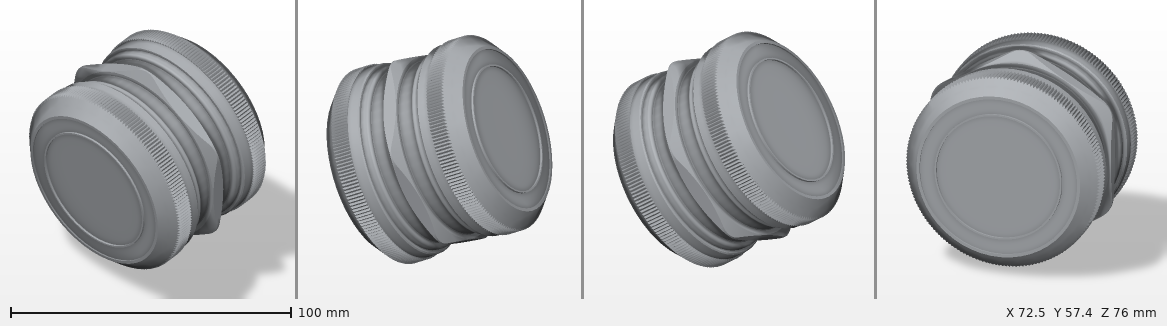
import cadquery as cq
import math


hex_across_flats = 68.0
hex_across_rounded_corners = 76.0
hex_half_width = 2.7
hex_face_diameter = 67.65
hex_chamfer_angle = 30.0

neck_diameter = 64.0
neck_bevel = 0.3
shoulder_start = 8.8
shoulder_diameter = hex_across_flats
shoulder_round = 1.0

nut_start = 12.1
skirt_diameter = 71.0
skirt_chamfer = 0.45
nut_face = 28.5
nut_face_diameter = 61.3

knurl_start = 16.65
ridge_diameter = 72.5
ridge_count = 180

seat_diameter = 59.0
seat_floor = 28.0
rim_end = 28.7
rim_outer_diameter = 47.6
rim_inner_diameter = 46.4


def revolve_about_y(points):
    """Revolve a closed (radius, y) outline about the Y axis."""
    return cq.Workplane("XY").polyline(points).close().revolve(360, (0, 0, 0), (0, 1, 0))


def polar_point(radius, angle):
    """Point at an angle in degrees, measured from the first axis of the sketch plane."""
    return (radius * math.cos(math.radians(angle)), radius * math.sin(math.radians(angle)))


def make_hex_collar():
    """Hexagon with two flats facing X, rounded corners and a shallow cone on both sides."""
    apothem = hex_across_flats / 2
    corner_stretch = 1 / math.cos(math.radians(30))
    corner_radius = apothem * corner_stretch
    corner_fillet = (corner_radius - hex_across_rounded_corners / 2) / (corner_stretch - 1)

    corners = [polar_point(corner_radius, 30 + 60 * i) for i in range(6)]
    hexagon = cq.Workplane("XZ").polyline(corners).close().extrude(hex_half_width, both=True)
    hexagon = hexagon.edges("|Y").fillet(corner_fillet)

    face_radius = hex_face_diameter / 2
    rim_radius = face_radius + hex_half_width / math.tan(math.radians(hex_chamfer_angle))
    double_cone = revolve_about_y([
        (0, -hex_half_width),
        (face_radius, -hex_half_width),
        (rim_radius, 0),
        (face_radius, hex_half_width),
        (0, hex_half_width),
    ])
    return hexagon.intersect(double_cone)


def make_body_half():
    """Neck from the middle plane and the rounded shoulder in front of the nut."""
    neck_radius = neck_diameter / 2
    neck = revolve_about_y([
        (0, 0),
        (neck_radius + neck_bevel, 0),
        (neck_radius + neck_bevel, hex_half_width),
        (neck_radius, hex_half_width + neck_bevel),
        (neck_radius, shoulder_start - neck_bevel),
        (neck_radius + neck_bevel, shoulder_start),
        (neck_radius + neck_bevel, nut_start),
        (0, nut_start),
    ])
    shoulder = revolve_about_y([
        (0, shoulder_start),
        (shoulder_diameter / 2, shoulder_start),
        (shoulder_diameter / 2, nut_start),
        (0, nut_start),
    ])
    return neck.union(shoulder.faces("<Y").edges().fillet(shoulder_round))


def make_knurl():
    """Ring of V-shaped ridges running along Y from the skirt to the end face."""
    pitch_angle = 360 / ridge_count
    outline = []
    for i in range(ridge_count):
        outline.append(polar_point(ridge_diameter / 2, i * pitch_angle))
        outline.append(polar_point(skirt_diameter / 2, (i + 0.5) * pitch_angle))
    band = cq.Workplane("XZ").polyline(outline).close().extrude(-(nut_face - knurl_start))
    return band.translate((0, knurl_start, 0))


def make_nut():
    """Skirt and a knurled band trimmed by the 45 degree end cone, with the seat cut in."""
    skirt_radius = skirt_diameter / 2
    skirt = revolve_about_y([
        (0, nut_start),
        (skirt_radius - skirt_chamfer, nut_start),
        (skirt_radius, nut_start + skirt_chamfer),
        (skirt_radius, knurl_start),
        (0, knurl_start),
    ])

    tip_clearance = 0.75
    face_radius = nut_face_diameter / 2
    cone_radius = ridge_diameter / 2 + tip_clearance
    cone_start = nut_face - (cone_radius - face_radius)
    end_cone = revolve_about_y([
        (0, knurl_start),
        (cone_radius, knurl_start),
        (cone_radius, cone_start),
        (face_radius, nut_face),
        (0, nut_face),
    ])

    seat = revolve_about_y([
        (0, seat_floor),
        (seat_diameter / 2, seat_floor),
        (seat_diameter / 2, nut_face),
        (0, nut_face),
    ])
    return skirt.union(make_knurl().intersect(end_cone)).cut(seat)


def make_rim():
    """Thin ring standing on the seat floor and reaching just past the nut face."""
    return revolve_about_y([
        (rim_inner_diameter / 2, seat_floor),
        (rim_outer_diameter / 2, seat_floor),
        (rim_outer_diameter / 2, rim_end),
        (rim_inner_diameter / 2, rim_end),
    ])


half = make_body_half().union(make_nut()).union(make_rim())
result = half.union(half.mirror("XZ")).union(make_hex_collar())